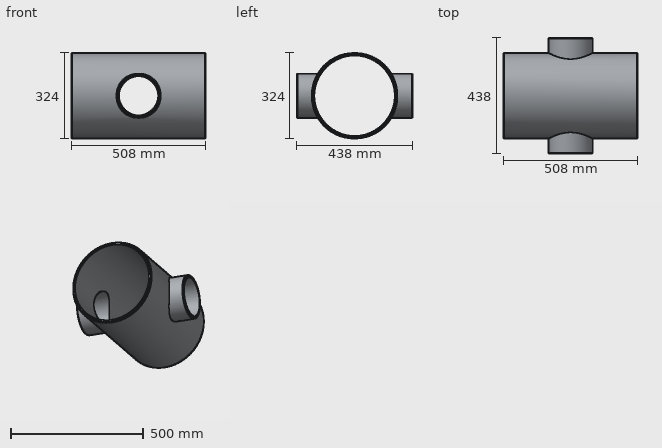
import cadquery as cq

run_length = 508.0
run_diameter = 324.0
run_bore = 304.0

branch_span = 438.0
branch_diameter = 168.0
branch_bore = 148.0

bevel = 3.5


def bevelled_bar(length, diameter):
    """Solid bar along X, centred on the origin, with bevelled ends."""
    half_length = length / 2
    radius = diameter / 2
    half_profile = [
        (-half_length, 0),
        (-half_length, radius - bevel),
        (-half_length + bevel, radius),
        (half_length - bevel, radius),
        (half_length, radius - bevel),
        (half_length, 0),
    ]
    return cq.Workplane("XY").polyline(half_profile).close().revolve(360, (0, 0, 0), (1, 0, 0))


def turn_to_y(body):
    """Turn a body lying along X so that it lies along Y."""
    return body.rotate((0, 0, 0), (0, 0, 1), 90)


def bore(length, diameter):
    """Cylinder along X, centred on the origin."""
    return cq.Workplane("YZ").circle(diameter / 2).extrude(length / 2, both=True)


run_body = bevelled_bar(run_length, run_diameter)
branch_body = turn_to_y(bevelled_bar(branch_span, branch_diameter))
run_hole = bore(run_length, run_bore)
branch_hole = turn_to_y(bore(branch_span, branch_bore))

result = run_body.union(branch_body).cut(run_hole).cut(branch_hole)